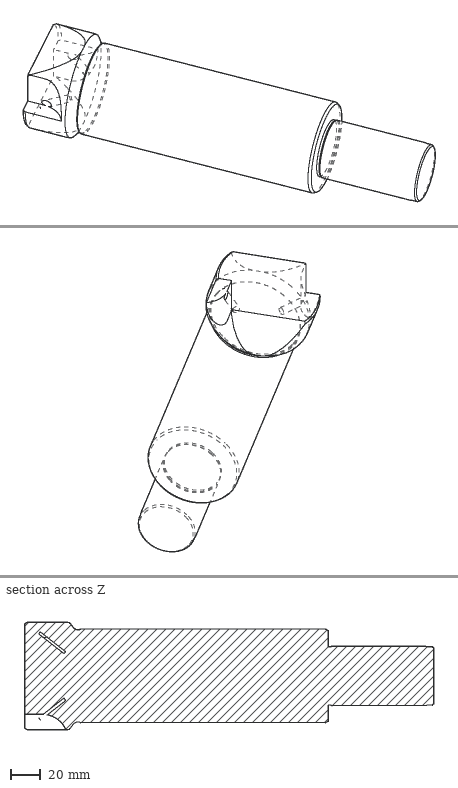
import cadquery as cq
import math

total_length = 273.5
head_diameter = 72.0
head_radius = head_diameter / 2
head_front_chamfer_length = 2.0
head_front_chamfer_depth = 1.0
head_end = 30.0
head_rear_chamfer_length = 1.6
head_rear_chamfer_depth = 0.3
body_radius = 31.5
cone_end = 32.5
cone_end_radius = 32.5
groove_start = 35.8
groove_floor_length = 0.8
groove_rise_length = 0.8
groove_depth = 0.5
body_end = 202.8
body_chamfer_length = 2.0
body_chamfer_depth = 1.0
shank_radius = 20.0
relief_radius = 19.7
relief_width = 1.6
relief_taper = 0.8
tail_length = 6.3
tail_taper = 1.6
tail_chamfer = 1.0

cut_margin = 5.5

flat_front_height = 24.5
flat_angle = 20.0

pocket_wall = 25.7
pocket_straight_length = 12.0
pocket_radius = 17.0

hole_diameter = 5.0
hole_x = 14.0
hole_z = 2.32
hole_angle = 38.0
hole_depth = 16.5


def turned_blank():
    groove_end = groove_start + groove_floor_length
    relief_end = body_end + relief_width
    tail_start = total_length - tail_length
    groove_radius = body_radius - groove_depth
    blend_length = groove_start - cone_end
    blend_height = cone_end_radius - groove_radius
    blend_radius = (blend_length**2 + blend_height**2) / (2 * blend_height)
    half_sweep = math.asin(blend_length / blend_radius) / 2
    blend_middle = (
        groove_start - blend_radius * math.sin(half_sweep),
        groove_radius + blend_radius * (1 - math.cos(half_sweep)),
    )
    outline = (
        cq.Workplane("XY")
        .lineTo(0, head_radius - head_front_chamfer_depth)
        .lineTo(head_front_chamfer_length, head_radius)
        .lineTo(head_end - head_rear_chamfer_length, head_radius)
        .lineTo(head_end, head_radius - head_rear_chamfer_depth)
        .lineTo(cone_end, cone_end_radius)
        .threePointArc(blend_middle, (groove_start, groove_radius))
        .lineTo(groove_end, groove_radius)
        .lineTo(groove_end + groove_rise_length, body_radius)
        .lineTo(body_end - body_chamfer_length, body_radius)
        .lineTo(body_end, body_radius - body_chamfer_depth)
        .lineTo(body_end, relief_radius)
        .lineTo(relief_end, relief_radius)
        .lineTo(relief_end + relief_taper, shank_radius)
        .lineTo(tail_start, shank_radius)
        .lineTo(tail_start + tail_taper, relief_radius)
        .lineTo(total_length - tail_chamfer, relief_radius)
        .lineTo(total_length, relief_radius - tail_chamfer)
        .lineTo(total_length, 0)
        .close()
    )
    return outline.revolve(360, (0, 0, 0), (1, 0, 0))


def flat_cutter():
    """Wedge of material above the upper sloping flat."""
    cut_top = head_radius + cut_margin
    cut_length = (cut_top - flat_front_height) / math.tan(math.radians(flat_angle))
    return (
        cq.Workplane("XZ")
        .polyline([(0, flat_front_height), (cut_length, cut_top), (0, cut_top)])
        .close()
        .extrude(head_radius, both=True)
    )


def pocket_cutter():
    """Front pocket: flat wall running out through a tangent arc, with its floor on Z = 0."""
    outer = head_radius + cut_margin
    run_out = outer - pocket_wall
    sweep = math.acos(1 - run_out / pocket_radius)

    def arc_point(angle):
        return (
            pocket_straight_length + pocket_radius * math.sin(angle),
            -pocket_wall - pocket_radius * (1 - math.cos(angle)),
        )

    return (
        cq.Workplane("XY")
        .moveTo(0, -outer)
        .lineTo(0, -pocket_wall)
        .lineTo(pocket_straight_length, -pocket_wall)
        .threePointArc(arc_point(sweep / 2), arc_point(sweep))
        .close()
        .extrude(head_radius)
    )


def hole_cutter():
    """Inclined coolant hole, running inward and away from the front face."""
    angle = math.radians(hole_angle)
    direction = cq.Vector(math.cos(angle), math.sin(angle), 0)
    mouth = cq.Vector(hole_x, -pocket_wall, hole_z)
    start = mouth - direction * hole_diameter
    return cq.Workplane(
        cq.Solid.makeCylinder(hole_diameter / 2, hole_depth + hole_diameter, start, direction)
    )


result = turned_blank()
for turn in (0, 180):
    for cutter in (flat_cutter(), pocket_cutter(), hole_cutter()):
        result = result.cut(cutter.rotate((0, 0, 0), (1, 0, 0), turn))